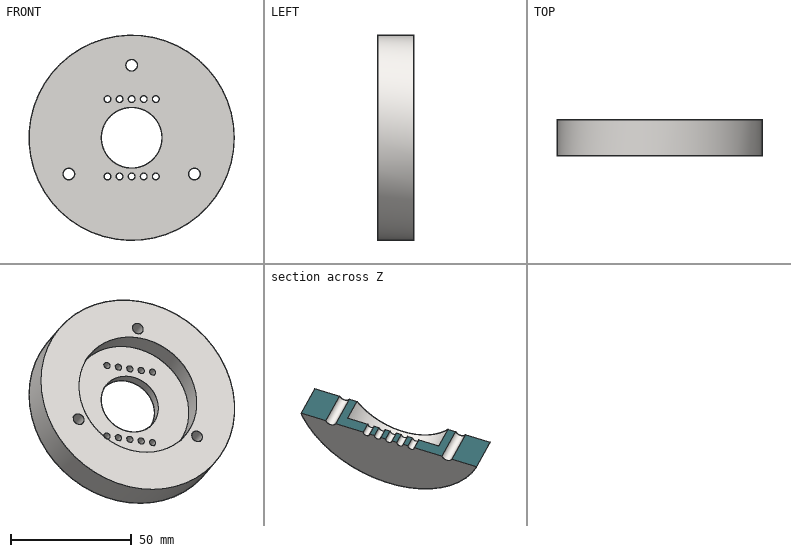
import cadquery as cq

disc_diameter = 85.0
thickness = 15.0
bore_diameter = 25.0

recess_diameter = 51.7
web_thickness = 5.0

mount_hole_diameter = 4.7
mount_circle_radius = 30.0
mount_hole_count = 3
first_mount_angle = 90.0
full_turn = 360.0

small_hole_diameter = 2.7
small_hole_pitch = 5.0
small_holes_per_row = 5
row_count = 2
row_spacing = 32.0


def front_plane():
    """Sketch plane on the front face (Y = 0), with X right and Z up."""
    return cq.Workplane("XZ")


def through_cylinders(layout, diameter):
    """Full-thickness cylinders at the points of a front-face layout."""
    return layout.circle(diameter / 2).extrude(-thickness)


def mount_holes():
    """Evenly spaced holes on the bolt circle."""
    layout = front_plane().polarArray(mount_circle_radius, first_mount_angle, full_turn, mount_hole_count)
    return through_cylinders(layout, mount_hole_diameter)


def small_holes():
    """Straight rows of holes, placed symmetrically about the bore."""
    layout = front_plane().rarray(small_hole_pitch, row_spacing, small_holes_per_row, row_count)
    return through_cylinders(layout, small_hole_diameter)


def back_recess():
    """Cylinder from the back of the web to the back face."""
    recess_depth = thickness - web_thickness
    web_back = front_plane().workplane(offset=-web_thickness)
    return web_back.circle(recess_diameter / 2).extrude(-recess_depth)


disc = through_cylinders(front_plane(), disc_diameter)
bore = through_cylinders(front_plane(), bore_diameter)

result = disc.cut(bore).cut(back_recess()).cut(mount_holes()).cut(small_holes())